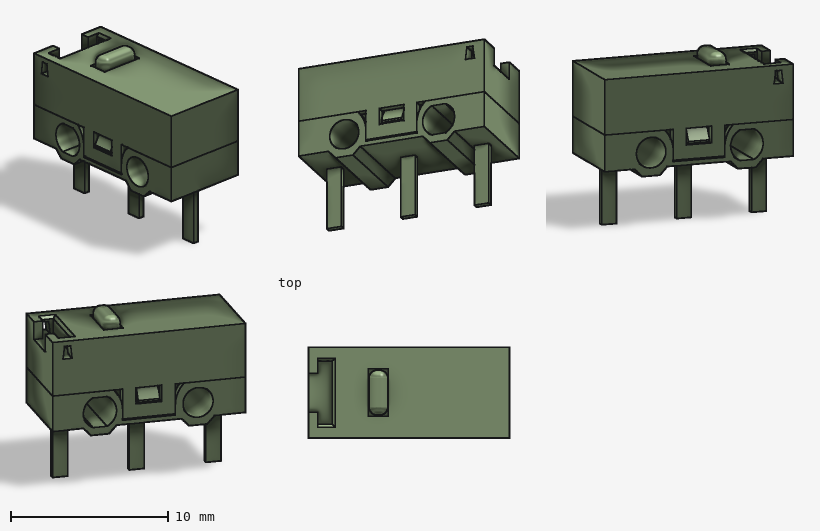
import cadquery as cq
import math


length = 12.8
width = 5.8
housing_height = 6.0
split_height = 2.4

hole_diameter = 2.0
hole_pitch = 6.5
hole_height = hole_diameter / 2
wide_hole_diameter = 2.2

foot_top_width = 2.2
foot_bottom_width = 1.2
foot_drop = 0.52

tab_width = 3.51
tab_thickness = 0.5
tab_bottom = 0.38
pocket_bottom = 0.3
pocket_corner_radius = 2.0

window_width = 1.7
window_bottom = 1.3
hook_width = 1.43
hook_bottom = 1.4
hook_lip_top = 1.52

recess_start = 0.6
recess_length = 0.91
recess_width = 4.0
recess_depth = 1.19
recess_bevel = 0.19
notch_width = 2.48
slit_center = 1.0
slit_top_width = 0.41
slit_bottom_width = 0.6
slit_top_depth = 0.35

plunger_x = -1.95
plunger_length = 1.19
plunger_width = 2.84
plunger_radius = 0.5
plunger_rise = 0.75
slot_length = 1.28
slot_width = 3.01
slot_depth = 1.0

terminal_width = 1.0
terminal_thickness = 0.4
terminal_length = 4.1
terminal_pitch = 5.08

left_end = -length / 2
front = -width / 2
recess_floor = housing_height - recess_depth


def box(x_min, x_max, y_min, y_max, z_min, z_max):
    """Axis-aligned block between the given limits."""
    size = (x_max - x_min, y_max - y_min, z_max - z_min)
    corner = (x_min, y_min, z_min)
    return cq.Workplane("XY").box(*size, centered=False).translate(corner)


def centered_block(block_width, y_min, y_max, z_min, z_max):
    """Block centred on X = 0."""
    return box(-block_width / 2, block_width / 2, y_min, y_max, z_min, z_max)


def through_width(outline):
    """Extrude a closed XZ outline over the full housing width."""
    return outline.extrude(width / 2, both=True)


def on_both_sides(shape):
    """A front-side feature together with its mirror image on the back."""
    return shape.union(shape.mirror("XZ"))


def make_foot(x):
    points = [
        (x - foot_top_width / 2, 0),
        (x - foot_bottom_width / 2, -foot_drop),
        (x + foot_bottom_width / 2, -foot_drop),
        (x + foot_top_width / 2, 0),
    ]
    return through_width(cq.Workplane("XZ").polyline(points).close())


def make_round_hole(x, diameter):
    return through_width(cq.Workplane("XZ").center(x, hole_height).circle(diameter / 2))


def make_wide_hole(x):
    """Larger round hole, flattened at top and bottom to the height of the other hole."""
    flats = through_width(cq.Workplane("XZ").center(x, hole_height).rect(wide_hole_diameter, hole_diameter))
    return make_round_hole(x, wide_hole_diameter).intersect(flats)


def make_tab_pocket():
    """Front pocket whose side walls curve outward from the hole height to the top of the base."""
    half = tab_width / 2
    radius = pocket_corner_radius

    def flare(angle):
        """Outward offset and height of the curved wall at an angle above the hole height."""
        return radius * (1 - math.cos(angle)), hole_height + radius * math.sin(angle)

    top_angle = math.asin((split_height - hole_height) / radius)
    middle_offset, middle_z = flare(top_angle / 2)
    top_offset, top_z = flare(top_angle)
    outline = (
        cq.Workplane("XZ", origin=(0, front, 0))
        .moveTo(-half, pocket_bottom)
        .lineTo(half, pocket_bottom)
        .lineTo(half, hole_height)
        .threePointArc((half + middle_offset, middle_z), (half + top_offset, top_z))
        .lineTo(-half - top_offset, top_z)
        .threePointArc((-half - middle_offset, middle_z), (-half, hole_height))
        .close()
    )
    return outline.extrude(-tab_thickness)


def make_hook():
    """Front wedge that slopes from the pocket wall out to a narrow lip flush with the housing."""
    wall = front + tab_thickness
    profile = [
        (wall, hook_bottom),
        (front, hook_bottom),
        (front, hook_lip_top),
        (wall, split_height),
    ]
    return cq.Workplane("YZ").polyline(profile).close().extrude(hook_width / 2, both=True)


def make_base():
    base = box(left_end, -left_end, front, -front, 0, split_height)
    for x in (-hole_pitch / 2, hole_pitch / 2):
        base = base.union(make_foot(x))
    base = base.cut(make_wide_hole(-hole_pitch / 2))
    base = base.cut(make_round_hole(hole_pitch / 2, hole_diameter))
    base = base.cut(on_both_sides(make_tab_pocket()))
    return base.union(on_both_sides(make_hook()))


def make_tab():
    """Front tab hanging from the cover, with the window for the hook."""
    inner = front + tab_thickness
    tab = centered_block(tab_width, front, inner, tab_bottom, split_height)
    return tab.cut(centered_block(window_width, front, inner, window_bottom, split_height))


def make_recess():
    """End recess with bevelled rim on three sides, open to the -X end through a notch."""
    x_start = left_end + recess_start
    x_end = x_start + recess_length
    half = recess_width / 2
    well = box(x_start, x_end, -half, half, recess_floor, housing_height)

    bevel_bottom = housing_height - recess_bevel
    rim_length = recess_length + recess_bevel
    bevel = (
        cq.Workplane("XY", origin=(x_start, 0, bevel_bottom))
        .center(recess_length / 2, 0)
        .rect(recess_length, recess_width)
        .workplane(offset=recess_bevel)
        .center(recess_bevel / 2, 0)
        .rect(rim_length, recess_width + 2 * recess_bevel)
        .loft(ruled=True)
    )
    notch = box(left_end, x_start, -notch_width / 2, notch_width / 2, recess_floor, housing_height)
    return well.union(bevel).union(notch)


def make_slit():
    """Tapered slit across the housing, level with the recess floor."""
    x = left_end + slit_center
    slit_top = housing_height - slit_top_depth
    points = [
        (x - slit_bottom_width / 2, recess_floor),
        (x + slit_bottom_width / 2, recess_floor),
        (x + slit_top_width / 2, slit_top),
        (x - slit_top_width / 2, slit_top),
    ]
    return through_width(cq.Workplane("XZ").polyline(points).close())


def make_cover():
    cover = box(left_end, -left_end, front, -front, split_height, housing_height)
    cover = cover.union(on_both_sides(make_tab()))
    cover = cover.cut(make_recess())
    cover = cover.cut(make_slit())
    slot = centered_block(
        slot_length, -slot_width / 2, slot_width / 2, housing_height - slot_depth, housing_height
    )
    return cover.cut(slot.translate((plunger_x, 0, 0)))


def make_plunger():
    """Rounded bar standing on the floor of the cover slot."""
    bar = centered_block(
        plunger_length,
        -plunger_width / 2,
        plunger_width / 2,
        housing_height - slot_depth,
        housing_height + plunger_rise,
    )
    bar = bar.edges("|Z").fillet(plunger_radius)
    bar = bar.faces(">Z").edges().fillet(plunger_radius)
    return bar.translate((plunger_x, 0, 0))


def make_terminal(x):
    """Flat pin below the base."""
    half = terminal_thickness / 2
    return centered_block(terminal_width, -half, half, -terminal_length, 0).translate((x, 0, 0))


base = make_base()
cover = make_cover()
plunger = make_plunger()
terminals = [make_terminal(x) for x in (-terminal_pitch, 0, terminal_pitch)]

result = cq.Compound.makeCompound(
    [base.val(), cover.val(), plunger.val(), *[terminal.val() for terminal in terminals]]
)